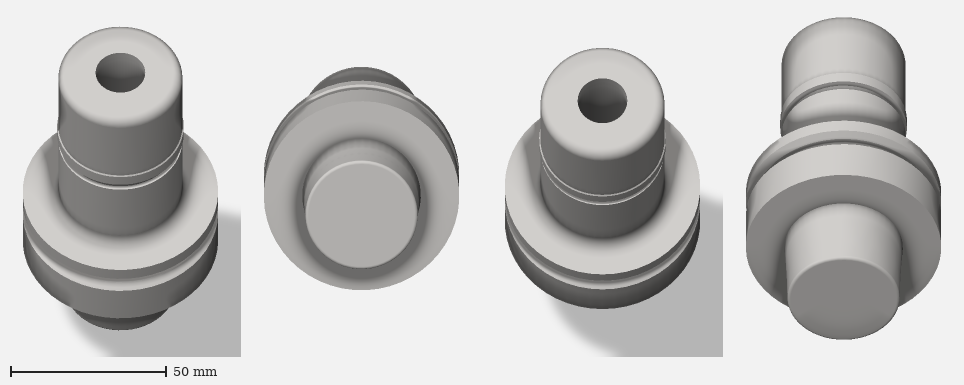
import cadquery as cq


nose_top = 90.0
shank_length = 25.0
flange_top = 26.0

flange_radius = 31.5
grip_center = 18.0
grip_floor_width = 3.75
grip_mouth_width = 6.5
grip_lip_radius = 29.1
grip_floor_radius = 27.5
grip_fillet = 0.4

neck_radius = 20.0
nose_fillet = 3.0
root_fillet = 3.0

collar_radius = 20.4
collar_top = 61.5
collar_bottom = 57.0
collar_chamfer = collar_radius - neck_radius
relief_radius = 18.6
relief_bottom = 53.8

shank_top_radius = 19.1
shank_middle_radius = 18.4
shank_end_radius = 18.1
shank_fillet = 1.0

bore_radius = 8.0
bore_depth = 48.0


def draw_shank(profile):
    """Trace from the axis at the shank end up to the flange seating face."""
    taper_bottom = shank_fillet - shank_length
    return (
        profile.lineTo(shank_end_radius - shank_fillet, -shank_length)
        .tangentArcPoint((shank_end_radius, taper_bottom), relative=False)
        .threePointArc((shank_middle_radius, taper_bottom / 2), (shank_top_radius, 0))
    )


def draw_flange(profile):
    """Trace the flange and its gripper groove up to the flange top."""
    half_floor = grip_floor_width / 2
    half_mouth = grip_mouth_width / 2
    return (
        profile.lineTo(flange_radius, 0)
        .lineTo(flange_radius, grip_center - half_mouth)
        .lineTo(grip_lip_radius, grip_center - half_floor)
        .lineTo(grip_floor_radius + grip_fillet, grip_center - half_floor)
        .tangentArcPoint((grip_floor_radius, grip_center - half_floor + grip_fillet), relative=False)
        .lineTo(grip_floor_radius, grip_center + half_floor - grip_fillet)
        .tangentArcPoint((grip_floor_radius + grip_fillet, grip_center + half_floor), relative=False)
        .lineTo(grip_lip_radius, grip_center + half_floor)
        .lineTo(flange_radius, grip_center + half_mouth)
        .lineTo(flange_radius, flange_top)
    )


def draw_neck(profile):
    """Trace the neck, relief groove, collar and rounded nose up to the axis."""
    return (
        profile.lineTo(neck_radius + root_fillet, flange_top)
        .tangentArcPoint((neck_radius, flange_top + root_fillet), relative=False)
        .lineTo(neck_radius, relief_bottom)
        .lineTo(relief_radius, relief_bottom)
        .lineTo(relief_radius, collar_bottom)
        .lineTo(collar_radius, collar_bottom)
        .lineTo(collar_radius, collar_top - collar_chamfer)
        .lineTo(neck_radius, collar_top)
        .lineTo(neck_radius, nose_top - nose_fillet)
        .tangentArcPoint((neck_radius - nose_fillet, nose_top), relative=False)
        .lineTo(0, nose_top)
    )


def make_body():
    profile = cq.Workplane("XZ").moveTo(0, -shank_length)
    profile = draw_neck(draw_flange(draw_shank(profile)))
    return profile.close().revolve(360, (0, 0), (0, 1))


def make_bore():
    return (
        cq.Workplane("XY")
        .workplane(offset=nose_top - bore_depth)
        .circle(bore_radius)
        .extrude(bore_depth)
    )


result = make_body().cut(make_bore())